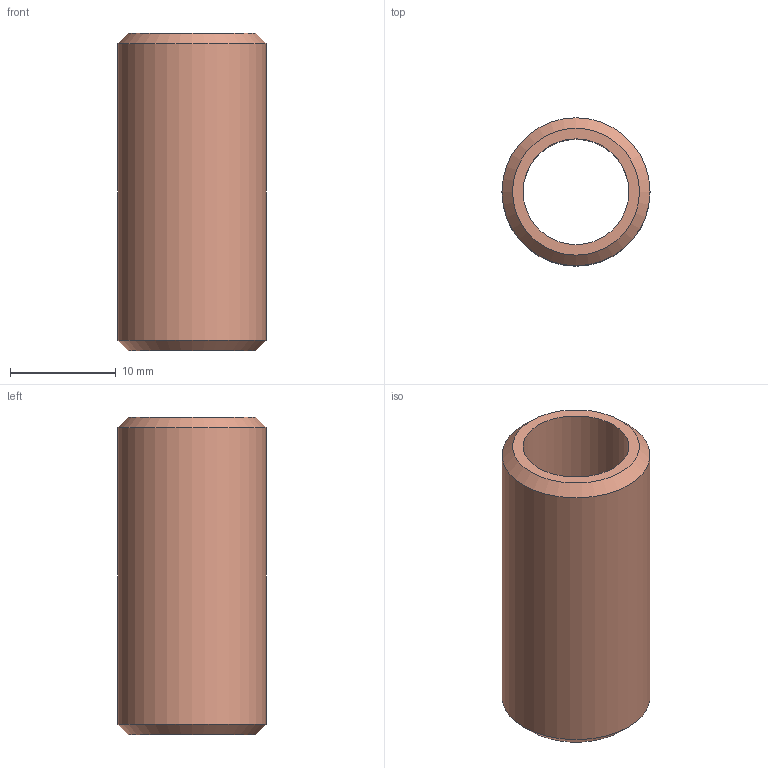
import cadquery as cq

length = 30.0
outer_diameter = 14.0
bore_diameter = 10.0
chamfer_size = 1.0


def make_sleeve():
    """Plain tube standing on the XY plane, with its axis along Z."""
    return (
        cq.Workplane("XY")
        .circle(outer_diameter / 2)
        .circle(bore_diameter / 2)
        .extrude(length)
    )


def chamfer_outer_rims(sleeve):
    """Break the outer edge at both ends; the bore edges stay sharp."""
    outer_rims = cq.selectors.RadiusNthSelector(-1)
    return sleeve.edges("%CIRCLE").edges(outer_rims).chamfer(chamfer_size)


result = chamfer_outer_rims(make_sleeve())